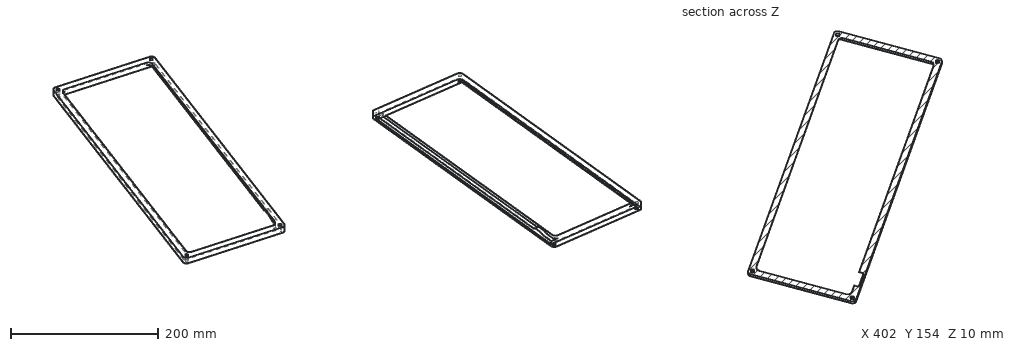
import cadquery as cq

length = 402.0
width = 154.0
height = 10.0
rim = 9.2
outer_radius = 5.2
inner_radius = 5.5
opening_length = length - 2 * rim
opening_width = width - 2 * rim

hole_diameter = 4.5
hole_inset = 6.0

lip_thickness = height / 2
seat_depth = 6.0

relief_lip_thickness = 3.0
relief_length = 21.7
relief_slope_length = 9.0
relief_end_gap = 16.0

top = height / 2
opening_end = opening_length / 2
seat_edge = opening_width / 2 + seat_depth


def make_frame():
    """Rounded rectangular ring centred on the origin."""
    outer = cq.Workplane("XY").box(length, width, height).edges("|Z").fillet(outer_radius)
    opening = (
        cq.Workplane("XY")
        .box(opening_length, opening_width, height)
        .edges("|Z")
        .fillet(inner_radius)
    )
    return outer.cut(opening)


def make_screw_holes():
    """Four through holes, one in each corner."""
    return (
        cq.Workplane("XY")
        .rect(length - 2 * hole_inset, width - 2 * hole_inset, forConstruction=True)
        .vertices()
        .circle(hole_diameter / 2)
        .extrude(top, both=True)
    )


def make_panel_seat():
    """Square-cornered pocket, open at the bottom and below both lips."""
    return (
        cq.Workplane("XY")
        .workplane(offset=-top)
        .rect(opening_length, 2 * seat_edge)
        .extrude(height - lip_thickness)
    )


def make_lip_relief():
    """Shallow recess in the underside of the +Y lip."""
    right = opening_end - relief_end_gap
    left = right - relief_length
    lip_bottom = top - lip_thickness
    relief_top = top - relief_lip_thickness
    return (
        cq.Workplane("XZ", origin=(0, seat_edge, 0))
        .moveTo(left, lip_bottom)
        .lineTo(left, relief_top)
        .lineTo(right - relief_slope_length, relief_top)
        .lineTo(right, lip_bottom)
        .close()
        .extrude(seat_edge)
    )


result = (
    make_frame()
    .cut(make_screw_holes())
    .cut(make_panel_seat())
    .cut(make_lip_relief())
)